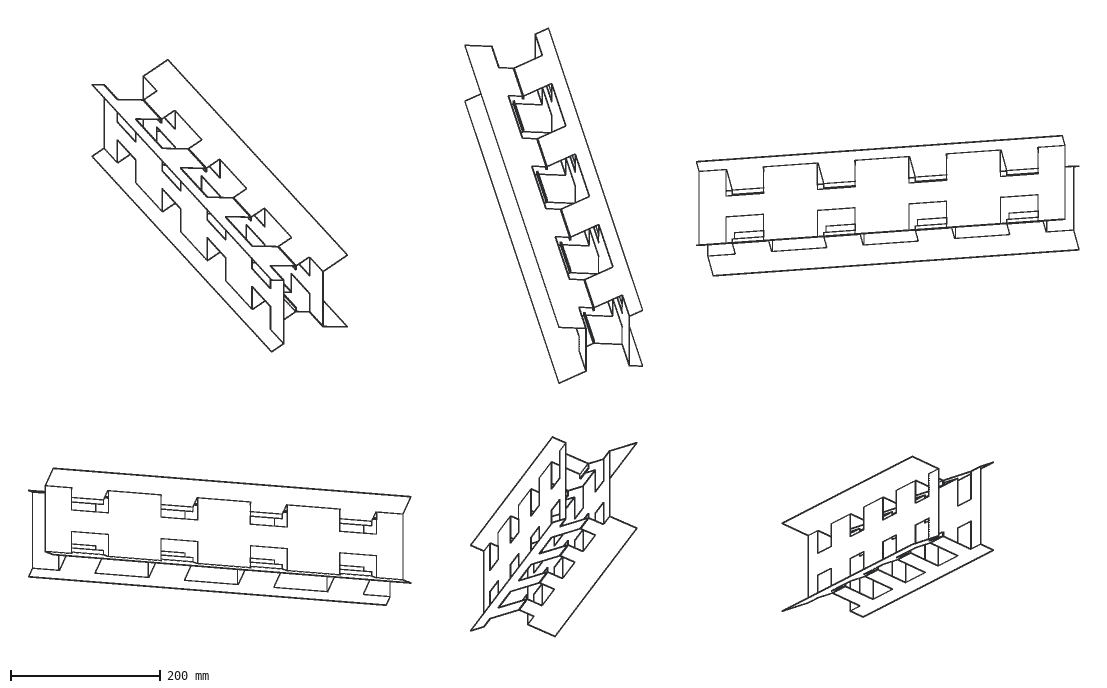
import cadquery as cq
import math

length = 500.0
width = 116.0
height = 121.0
sheet = 0.9

valley_height = 38.5
lip_end = 32.0

front_web_offset = 40.0
back_web_offset = 21.0

tab_count = 4
tab_pitch = length / tab_count
window_width = 51.5
tab_width = window_width - 2 * sheet
bridge_height = 30.0

half_width = width / 2
half_height = height / 2
slope = (half_height - valley_height) / half_width
flange_drop = sheet * math.hypot(1, slope)
tab_centers = [(i - (tab_count - 1) / 2) * tab_pitch for i in range(tab_count)]


def flange_top(y):
    """Height of the flange's upper surface at distance y from the meeting plane."""
    return valley_height + slope * y


def extrude_profile(points, x_length, x_center=0):
    """Extrude a (Y, Z) outline along X, centred on x_center."""
    profile = cq.Workplane("YZ").workplane(offset=x_center - x_length / 2)
    return profile.polyline(points).close().extrude(x_length)


def sloping_strip(y_inner, y_outer, x_length, x_center=0):
    """Part of the upper flange between two distances from the meeting plane."""
    points = [
        (y_inner, flange_top(y_inner)),
        (y_outer, flange_top(y_outer)),
        (y_outer, flange_top(y_outer) - flange_drop),
        (y_inner, flange_top(y_inner) - flange_drop),
    ]
    return extrude_profile(points, x_length, x_center)


def tab_with_lip(web_offset, x_center):
    """Tab reaching from the flange to the meeting plane, ending in an upright lip."""
    lip_top = flange_top(0) - flange_drop / 2
    lip = extrude_profile(
        [(0, lip_end), (sheet, lip_end), (sheet, lip_top), (0, lip_top)], tab_width, x_center
    )
    return sloping_strip(0, web_offset, tab_width, x_center).union(lip)


def web_plate(web_offset):
    """Upper half of the web, with an open window under each tab."""
    inner = web_offset - sheet
    points = [
        (inner, 0),
        (web_offset, 0),
        (web_offset, flange_top(web_offset) - flange_drop / 2),
        (inner, flange_top(inner) - flange_drop / 2),
    ]
    web = extrude_profile(points, length)
    window_bottom = bridge_height / 2
    for x in tab_centers:
        window = cq.Workplane("XY").box(
            window_width, 2 * sheet, half_height, centered=(True, True, False)
        )
        web = web.cut(window.translate((x, web_offset - sheet / 2, window_bottom)))
    return web


def channel(web_offset):
    """One channel on the +Y side of the meeting plane, mirrored about mid-height."""
    upper = web_plate(web_offset).union(sloping_strip(web_offset - sheet, half_width, length))
    for x in tab_centers:
        upper = upper.union(tab_with_lip(web_offset, x))
    return upper.union(upper.mirror("XY"))


back_channel = channel(back_web_offset)
front_channel = channel(front_web_offset).mirror("XZ")

result = cq.Compound.makeCompound([front_channel.solids().val(), back_channel.solids().val()])